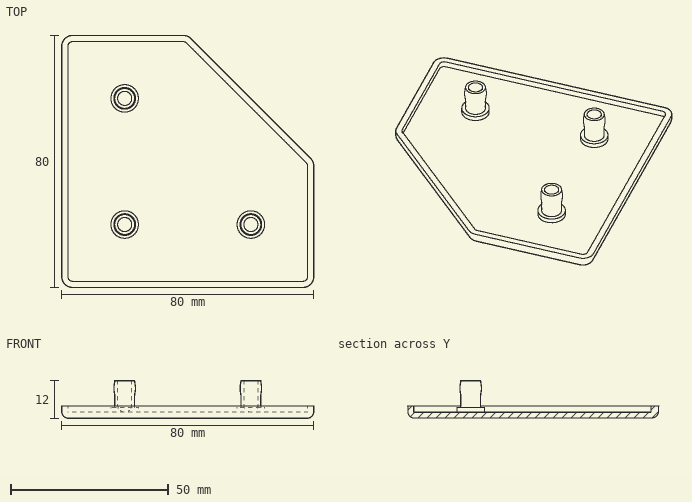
import cadquery as cq
import math

side = 80.0
cut_leg = side / 2
tray_height = 4.0
floor_thickness = 2.0
wall = 2.0
corner_radius = 3.5
inner_corner_radius = corner_radius - wall
bottom_radius = 2.2

total_height = 12.0
pin_inset = side / 4
pin_pitch = side / 2
collar_radius = 8.7 / 2
collar_top = 3.5
pin_radius = 6.3 / 2
bead_radius = 6.9 / 2
neck_z = 7.1
bead_bottom_z = 9.0
bead_top_z = 10.1
bore_radius = 4.5 / 2
bore_bottom_z = floor_thickness


def tray_outline():
    """Square with its +X +Y corner cut at 45 degrees."""
    return cq.Sketch().polygon([
        (0, 0),
        (side, 0),
        (side, side - cut_leg),
        (side - cut_leg, side),
        (0, side),
        (0, 0),
    ])


def inner_outline():
    """Tray outline moved inward by the wall thickness."""
    far = side - wall
    diagonal_sum = 2 * side - cut_leg - wall * math.sqrt(2)
    return cq.Sketch().polygon([
        (wall, wall),
        (far, wall),
        (far, diagonal_sum - far),
        (diagonal_sum - far, far),
        (wall, far),
        (wall, wall),
    ])


def make_tray():
    outer = tray_outline().vertices().fillet(corner_radius)
    body = cq.Workplane("XY").placeSketch(outer).extrude(tray_height)
    body = body.faces("<Z").edges().fillet(bottom_radius)
    inner = inner_outline().vertices().fillet(inner_corner_radius)
    pocket = (
        cq.Workplane("XY", origin=(0, 0, floor_thickness))
        .placeSketch(inner)
        .extrude(tray_height - floor_thickness)
    )
    return body.cut(pocket)


def make_pin():
    """Collar, neck and snap bead with a round-bottomed blind bore, revolved about Z."""
    foot_z = floor_thickness / 2
    dome_center_z = bore_bottom_z + bore_radius
    dome_mid_point = (
        bore_radius * math.sin(math.pi / 4),
        dome_center_z - bore_radius * math.cos(math.pi / 4),
    )
    profile = [
        (0, foot_z),
        (collar_radius, foot_z),
        (collar_radius, collar_top),
        (pin_radius, collar_top),
        (pin_radius, neck_z),
        (bead_radius, bead_bottom_z),
        (bead_radius, bead_top_z),
        (pin_radius, total_height),
        (bore_radius, total_height),
        (bore_radius, dome_center_z),
    ]
    section = (
        cq.Workplane("XZ")
        .polyline(profile)
        .threePointArc(dome_mid_point, (0, bore_bottom_z))
        .close()
    )
    return section.revolve(360, (0, 0), (0, 1))


result = make_tray()
pin = make_pin()
for column, row in [(0, 0), (1, 0), (0, 1)]:
    pin_x = pin_inset + column * pin_pitch
    pin_y = pin_inset + row * pin_pitch
    result = result.union(pin.translate((pin_x, pin_y, 0)))